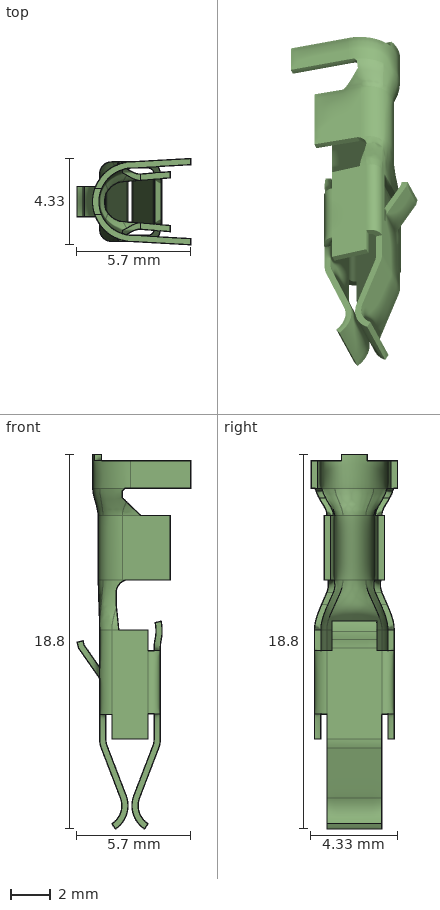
import cadquery as cq
import math

sheet = 0.32

box_depth = 3.05
box_half_width = 2.0
corner_radius = 0.62
box_top = 9.98
side_bottom = 4.50
back_corner_bottom = 5.73
front_corner_bottom = 5.77
front_corner_top = 8.94
panel_half_width = box_half_width - corner_radius

bend_angle = math.radians(21)
tip_angle = math.radians(57)
bend_radius = 1.25
curl_radius = 1.08
leg_straight = 2.67

tongue_half_width = 1.13
tongue_bend_z = 9.08
tongue_lean_z = 9.50
tongue_crest_z = 9.90
tongue_top = 10.42
tongue_lean = 0.09
tongue_curl = 0.05
tongue_end_tilt = math.radians(15)

window_half_width = 1.05
window_bottom = 7.0
lance_half_width = 0.76
lance_root = 7.55
lance_knee = (-1.06, 9.07)
lance_tip = (-1.13, 9.36)

wire_radius = 1.32
wire_back = -0.07
wire_flare = math.radians(4.6)
wire_end = 3.55
wire_bottom = 12.47
wire_top = 15.71
wire_back_half = 0.76

grip_radius = 2.0
grip_back = -0.35
grip_flare = math.radians(3.2)
grip_end = 4.57
grip_bottom = 17.06
grip_top = 18.45
grip_back_half = 1.15
carrier_half_width = 0.65
carrier_top = 18.77

neck_reach = 2.4
blend_steps = 6
scoop_base_x = 0.97
scoop_waist_x = 0.84
scoop_waist_z = 11.25
scoop_round_z = 11.85
scoop_round_mid = (0.98, 12.25)
scoop_top_x = 1.32
notch_base_x = 2.06
notch_x = 1.15
notch_z = 16.58
notch_chamfer = 0.13

clear = 10


def block(x0, x1, half_width, z0, z1):
    """Box spanning x0..x1 and z0..z1, centred on Y = 0."""
    size = (x1 - x0, 2 * half_width, z1 - z0)
    return cq.Workplane("XY").box(*size, centered=(False, True, False)).translate((x0, 0, z0))


def plate(outline, half_width):
    """Extrude an XZ outline symmetrically across Y = 0."""
    return outline.close().extrude(half_width, both=True)


def barrel_points(radius, back, flare, end):
    """Back point, tangent point and end point of one flank of an open U barrel."""
    centre = back + radius
    tangent = (centre - radius * math.sin(flare), radius * math.cos(flare))
    tip = (end, tangent[1] + (end - tangent[0]) * math.tan(flare))
    return (back, 0), tangent, tip


def barrel_blank(radius, back, flare, end, z0, z1):
    """Solid D-shaped blank bounded by the U and a flat closing face at X = end."""
    rear, (tx, ty), (ex, ey) = barrel_points(radius, back, flare, end)
    outline = cq.Workplane("XY", origin=(0, 0, z0)).moveTo(ex, -ey).lineTo(tx, -ty)
    outline = outline.threePointArc(rear, (tx, ty)).lineTo(ex, ey)
    return outline.close().extrude(z1 - z0)


def barrel(radius, back, flare, end, z0, z1):
    """Open U barrel of uniform sheet thickness."""
    outer = barrel_blank(radius, back, flare, end, z0, z1)
    inner = barrel_blank(radius - sheet, back + sheet, flare, end, z0, z1)
    return outer.cut(inner)


def round_station(radius, back, flare, back_half, inset):
    """Key points (back, facet edge, mid corner, flank start, flank end) of a barrel section."""
    r = radius - inset
    centre = back + radius
    facet = math.asin(back_half / radius)
    flank = math.pi / 2 - flare
    mid = (facet + flank) / 2
    rear, tangent, tip = barrel_points(r, back + inset, flare, neck_reach)
    edge, corner = [(centre - r * math.cos(a), r * math.sin(a)) for a in (facet, mid)]
    return [rear, edge, corner, tangent, tip]


def box_station(inset):
    """Key points of the box section, matching those of a barrel section."""
    r = corner_radius - inset
    diagonal = r * math.sqrt(0.5)
    side = box_half_width - inset
    return [
        (inset, 0),
        (inset, panel_half_width),
        (corner_radius - diagonal, panel_half_width + diagonal),
        (corner_radius, side),
        (neck_reach, side),
    ]


def neck_section(points, z):
    """Closed wire of one neck section, mirrored from the key points of its +Y half."""
    rear, edge, corner, flank, tip = points
    edge_m, corner_m, flank_m, tip_m = [(x, -y) for x, y in (edge, corner, flank, tip)]
    outline = cq.Workplane("XY", origin=(0, 0, z)).moveTo(*tip_m).lineTo(*flank_m)
    outline = outline.threePointArc(corner_m, edge_m)
    flat_back = math.isclose(rear[0], edge[0])
    outline = outline.lineTo(*edge) if flat_back else outline.threePointArc(rear, edge)
    return outline.threePointArc(corner, flank).lineTo(*tip).close().wires().val()


def smooth_ease(t):
    """Blend weight from 0 to 1 that starts and ends level."""
    return t * t * (3 - 2 * t)


def neck_blank(low, high, z0, z1):
    """Smooth solid blending one section into another."""
    wires = []
    for step in range(blend_steps + 1):
        t = step / blend_steps
        s = smooth_ease(t)
        points = [(a + (c - a) * s, b + (d - b) * s) for (a, b), (c, d) in zip(low, high)]
        wires.append(neck_section(points, z0 + (z1 - z0) * t))
    return cq.Workplane(cq.Solid.makeLoft(wires, False))


def lower_neck():
    """Neck from the box up to the wire crimp, with its scooped free edges."""
    shells = []
    for inset in (0, sheet):
        low = box_station(inset)
        high = round_station(wire_radius, wire_back, wire_flare, wire_back_half, inset)
        shells.append(neck_blank(low, high, box_top, wire_bottom))
    keep = cq.Workplane("XZ").moveTo(-clear, box_top).lineTo(scoop_base_x, box_top)
    keep = keep.lineTo(scoop_waist_x, scoop_waist_z).lineTo(scoop_waist_x, scoop_round_z)
    keep = keep.threePointArc(scoop_round_mid, (scoop_top_x, wire_bottom))
    keep = keep.lineTo(-clear, wire_bottom)
    return shells[0].cut(shells[1]).intersect(plate(keep, clear))


def upper_neck():
    """Neck flaring from the wire crimp out to the insulation crimp."""
    shells = []
    for inset in (0, sheet):
        low = round_station(wire_radius, wire_back, wire_flare, wire_back_half, inset)
        high = round_station(grip_radius, grip_back, grip_flare, grip_back_half, inset)
        shells.append(neck_blank(low, high, wire_top, grip_bottom))
    keep = cq.Workplane("XZ").moveTo(-clear, wire_top).lineTo(notch_base_x, wire_top)
    keep = keep.lineTo(notch_x, notch_z).lineTo(notch_x, grip_bottom - notch_chamfer)
    keep = keep.lineTo(notch_x + notch_chamfer, grip_bottom).lineTo(-clear, grip_bottom)
    return shells[0].cut(shells[1]).intersect(plate(keep, clear))


def box():
    """Rounded square tube whose side walls run below its corners and panels."""

    def tube(inset):
        solid = block(inset, box_depth - inset, box_half_width - inset, side_bottom, box_top)
        return solid.edges("|Z").fillet(corner_radius - inset)

    body = tube(0).cut(tube(sheet))
    front_x = box_depth - corner_radius
    body = body.cut(block(-clear, corner_radius, clear, 0, back_corner_bottom))
    body = body.cut(block(front_x, clear, clear, 0, front_corner_bottom))
    return body.cut(block(front_x, clear, clear, front_corner_top, box_top))


def spring_leg(top):
    """Back leg: straight down from the box, bent inward, with a tip curled back outward."""

    def polar(centre, radius, angle):
        return centre[0] + radius * math.cos(angle), centre[1] + radius * math.sin(angle)

    convex = curl_radius + sheet
    inner_bend = bend_radius - sheet
    run = (leg_straight * math.sin(bend_angle), -leg_straight * math.cos(bend_angle))
    spread = (bend_radius + curl_radius) * math.cos(bend_angle)
    rise = (bend_radius + curl_radius) * math.sin(bend_angle)
    curl = (bend_radius - spread + run[0], convex * math.sin(tip_angle))
    bend = (bend_radius, curl[1] - run[1] + rise)
    left = math.pi
    mid_curl = (bend_angle - tip_angle) / 2
    leg = cq.Workplane("XZ").moveTo(0, top).lineTo(0, bend[1])
    leg = leg.threePointArc(polar(bend, bend_radius, left + bend_angle / 2),
                            polar(bend, bend_radius, left + bend_angle))
    leg = leg.lineTo(*polar(curl, curl_radius, bend_angle))
    leg = leg.threePointArc(polar(curl, curl_radius, mid_curl), polar(curl, curl_radius, -tip_angle))
    leg = leg.lineTo(*polar(curl, convex, -tip_angle))
    leg = leg.threePointArc(polar(curl, convex, mid_curl), polar(curl, convex, bend_angle))
    leg = leg.lineTo(*polar(bend, inner_bend, left + bend_angle))
    leg = leg.threePointArc(polar(bend, inner_bend, left + bend_angle / 2), (sheet, bend[1]))
    return plate(leg.lineTo(sheet, top), panel_half_width)


def tongue():
    """Tongue above the front panel: S bend outward, then a slight curl back in at the top."""
    inner = box_depth - sheet
    outer = box_depth
    lean = tongue_lean / 2
    low_mid = (lean / 4, (tongue_bend_z + tongue_lean_z) / 2)
    high_mid = (tongue_lean - lean / 4, (tongue_lean_z + tongue_crest_z) / 2)
    top_x = tongue_lean - tongue_curl
    end_x = sheet * (1 - math.cos(tongue_end_tilt))
    end_drop = sheet * math.sin(tongue_end_tilt)
    curl_mid = (tongue_lean - tongue_curl / 4, (tongue_crest_z + tongue_top) / 2)

    def at(face, point):
        return face + point[0], point[1]

    shape = cq.Workplane("XZ").moveTo(inner, front_corner_top).lineTo(outer, front_corner_top)
    shape = shape.lineTo(outer, tongue_bend_z)
    shape = shape.threePointArc(at(outer, low_mid), (outer + lean, tongue_lean_z))
    shape = shape.threePointArc(at(outer, high_mid), (outer + tongue_lean, tongue_crest_z))
    shape = shape.threePointArc(at(outer, curl_mid), (outer + top_x, tongue_top))
    shape = shape.lineTo(inner + top_x + end_x, tongue_top - end_drop)
    shape = shape.threePointArc(at(inner, curl_mid), (inner + tongue_lean, tongue_crest_z))
    shape = shape.threePointArc(at(inner, high_mid), (inner + lean, tongue_lean_z))
    shape = shape.threePointArc(at(inner, low_mid), (inner, tongue_bend_z))
    return plate(shape, tongue_half_width)


def lance():
    """Locking lance bent outward from the back wall, its tip turned up again."""
    root = (0, lance_root)

    def slope(low, high):
        return math.atan2(low[0] - high[0], high[1] - low[1])

    def inner_corner(point, below, above):
        """Inner-face corner opposite an outer-face bend between two slopes."""
        mid = (below + above) / 2
        length = sheet / math.cos((above - below) / 2)
        return point[0] + length * math.cos(mid), point[1] + length * math.sin(mid)

    shank = slope(root, lance_knee)
    tip = slope(lance_knee, lance_tip)
    shape = cq.Workplane("XZ").moveTo(sheet, window_bottom).lineTo(0, window_bottom)
    shape = shape.lineTo(*root).lineTo(*lance_knee).lineTo(*lance_tip)
    shape = shape.lineTo(*inner_corner(lance_tip, tip, tip))
    shape = shape.lineTo(*inner_corner(lance_knee, shank, tip))
    shape = shape.lineTo(*inner_corner(root, 0, shank))
    return plate(shape, lance_half_width)


def carrier_stub():
    """Short remnant of the carrier strip on top of the insulation crimp's back."""
    ring = barrel(grip_radius, grip_back, grip_flare, grip_end, grip_top, carrier_top)
    centre = grip_back + grip_radius
    return ring.intersect(block(-clear, centre, carrier_half_width, grip_top, carrier_top))


back_leg = spring_leg(back_corner_bottom)
front_leg = spring_leg(front_corner_bottom).mirror("YZ").translate((box_depth, 0, 0))
body = box().union(back_leg).union(front_leg).union(tongue())
body = body.union(lower_neck())
body = body.union(barrel(wire_radius, wire_back, wire_flare, wire_end, wire_bottom, wire_top))
body = body.union(upper_neck())
body = body.union(barrel(grip_radius, grip_back, grip_flare, grip_end, grip_bottom, grip_top))
body = body.union(carrier_stub())
body = body.cut(block(-clear, sheet, window_half_width, window_bottom, box_top))
result = body.union(lance())